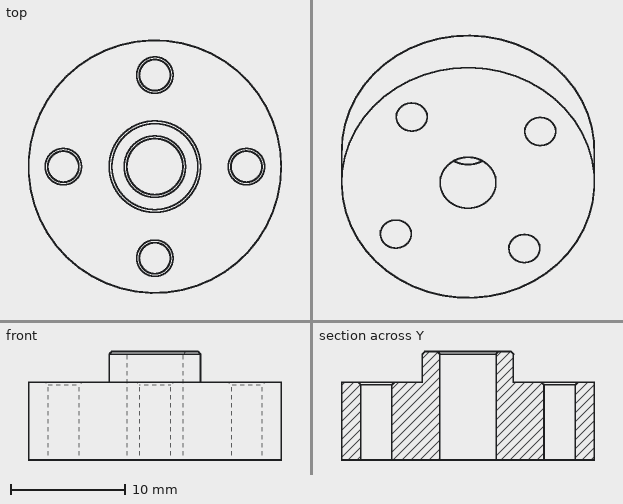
import cadquery as cq

flange_diameter = 22.1
flange_height = 6.8
total_height = 9.5
boss_diameter = 8.0
bore_diameter = 4.88
bolt_hole_diameter = 2.7
bolt_circle_diameter = 16.0
bolt_hole_count = 4
edge_chamfer = 0.25

boss_height = total_height - flange_height


def chamfered_hole(diameter, top_z):
    """Cutter for a through hole from Z = 0 with a 45 degree chamfer at its top edge."""
    radius = diameter / 2
    shaft = cq.Workplane("XY").circle(radius).extrude(top_z)
    cone = cq.Solid.makeCone(
        radius,
        radius + edge_chamfer,
        edge_chamfer,
        pnt=cq.Vector(0, 0, top_z - edge_chamfer),
    )
    return shaft.union(cq.Workplane(cone))


flange = cq.Workplane("XY").circle(flange_diameter / 2).extrude(flange_height)

boss = (
    cq.Workplane("XY", origin=(0, 0, flange_height))
    .circle(boss_diameter / 2)
    .extrude(boss_height)
    .faces(">Z")
    .chamfer(edge_chamfer)
)

result = flange.union(boss).cut(chamfered_hole(bore_diameter, total_height))

bolt_hole = chamfered_hole(bolt_hole_diameter, flange_height)
for index in range(bolt_hole_count):
    angle = index * 360 / bolt_hole_count
    placed_hole = bolt_hole.translate((bolt_circle_diameter / 2, 0, 0))
    result = result.cut(placed_hole.rotate((0, 0, 0), (0, 0, 1), angle))